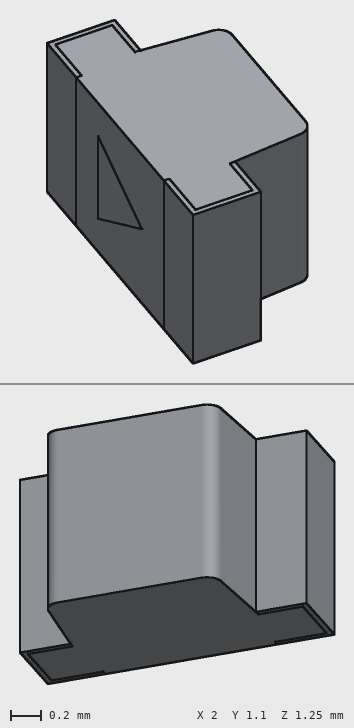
import cadquery as cq
import math

base_length = 2.0
base_depth = 0.5
total_depth = 1.1
height = 1.25

lens_root_width = 1.3
lens_draft_angle = 5.0
lens_corner_radius = 0.1

plating = 0.04
front_leg_length = 0.4

mark_length = 0.6
mark_depth = 0.04

half_length = base_length / 2
lens_root_half = lens_root_width / 2
lens_root_y = base_depth - plating
lens_tip_half = lens_root_half - (total_depth - lens_root_y) * math.tan(math.radians(lens_draft_angle))


def make_lens():
    """Tapered lens rising from the base core."""
    return (
        cq.Workplane("XY", origin=(0, 0, -height / 2))
        .moveTo(-lens_root_half, lens_root_y)
        .lineTo(lens_root_half, lens_root_y)
        .lineTo(lens_tip_half, total_depth)
        .lineTo(-lens_tip_half, total_depth)
        .close()
        .extrude(height)
        .edges("|Z and >Y")
        .fillet(lens_corner_radius)
    )


def make_core():
    """Part of the base inside the plating, open between the front legs."""
    inner = cq.Workplane("XY").box(
        base_length - 2 * plating, base_depth - 2 * plating, height, centered=(True, False, True)
    ).translate((0, plating, 0))
    front_web = cq.Workplane("XY").box(
        base_length - 2 * front_leg_length, plating, height, centered=(True, False, True)
    )
    return inner.union(front_web)


def make_mark():
    """Triangle pointing toward +X."""
    half_side = mark_length / math.sqrt(3)
    return (
        cq.Workplane("XZ")
        .moveTo(-mark_length / 2, -half_side)
        .lineTo(mark_length / 2, 0)
        .lineTo(-mark_length / 2, half_side)
        .close()
        .extrude(-mark_depth)
    )


def make_terminal(side, core_and_lens):
    """Plating on one end; side is -1 for -X and +1 for +X."""
    end_half = (
        cq.Workplane("XY")
        .box(half_length, base_depth, height, centered=(True, False, True))
        .translate((side * half_length / 2, 0, 0))
    )
    return end_half.cut(core_and_lens)


core_and_lens = make_core().union(make_lens())
mark = make_mark()
terminals = [make_terminal(side, core_and_lens) for side in (-1, 1)]
housing = core_and_lens.cut(mark)

result = cq.Compound.makeCompound(
    [housing.val(), mark.val(), *[terminal.val() for terminal in terminals]]
)